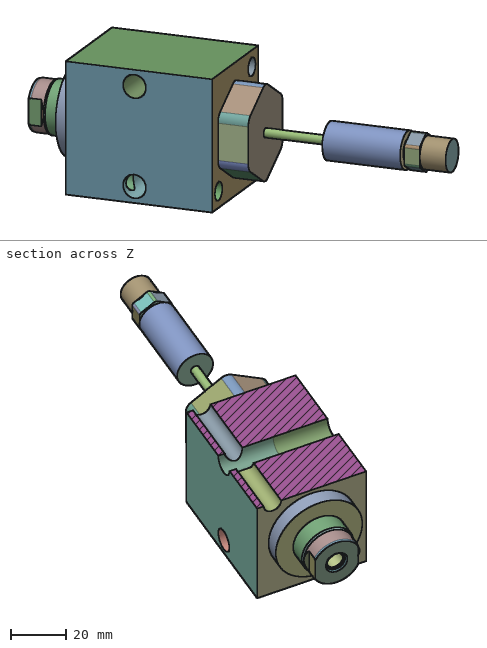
import cadquery as cq
import math


block_start = 20.2
block_length = 57.4
block_width = 44.4
block_height = 50.7
block_end = block_start + block_length

hole_height = 19.0
cross_hole_diameter = 9.0
cross_hole_x = 47.1
mount_hole_diameter = 7.0
mount_hole_offset = 16.0

nose_diameter = 20.2
nose_tip_diameter = 19.7
nose_tip_length = 1.0
nose_length = 6.5
collar_diameter = 21.0
collar_start = 7.3
flange_diameter = 35.1
flange_start = 14.3

nose_flats_width = 17.4
nose_flats_length = 5.0

port_diameter = 6.5
port_mouth_diameter = 8.8
port_step_diameter = 7.5
port_step_depth = 1.5
port_depth = 6.5

hex_width = 33.0
hex_corner_radius = 4.2
hex_end = 89.4

cable_diameter = 3.5
sleeve_start = 114.6
sleeve_end = 145.2
sleeve_diameter = 14.6
neck_diameter = 8.8
nut_start = 146.5
nut_end = 152.5
nut_width = 13.2
nut_corner_radius = 1.3
plug_diameter = 12.5
total_length = 162.5


def rod(start, end, diameter):
    """Cylinder on the axis between two X positions."""
    return cq.Workplane("YZ", origin=(start, 0, 0)).circle(diameter / 2).extrude(end - start)


def cone(start, end, start_diameter, end_diameter):
    """Truncated cone on the axis between two X positions."""
    solid = cq.Solid.makeCone(
        start_diameter / 2, end_diameter / 2, end - start, cq.Vector(start, 0, 0), cq.Vector(1, 0, 0)
    )
    return cq.Workplane(solid)


def hexagon(start, end, width_across_flats, corner_radius):
    """Round-cornered hexagonal prism with two flats facing -Y and +Y."""
    corner_diameter = width_across_flats / math.cos(math.pi / 6)
    return (
        cq.Workplane("YZ", origin=(start, 0, 0))
        .transformed(rotate=(0, 0, 90))
        .polygon(6, corner_diameter)
        .extrude(end - start)
        .edges("|X")
        .fillet(corner_radius)
    )


def make_block():
    block = cq.Workplane("XY").box(block_length, block_width, block_height)
    block = block.translate((block_start + block_length / 2, 0, 0))
    cross_holes = (
        cq.Workplane("XZ")
        .pushPoints([(cross_hole_x, hole_height), (cross_hole_x, -hole_height)])
        .circle(cross_hole_diameter / 2)
        .extrude(block_width, both=True)
    )
    mount_holes = (
        cq.Workplane("YZ", origin=(block_start, 0, 0))
        .pushPoints([(mount_hole_offset, hole_height), (-mount_hole_offset, -hole_height)])
        .circle(mount_hole_diameter / 2)
        .extrude(block_length)
    )
    return block.cut(cross_holes).cut(mount_holes)


def make_nose():
    nose = (
        cone(0, nose_tip_length, nose_tip_diameter, nose_diameter)
        .union(rod(nose_tip_length, nose_length, nose_diameter))
        .union(cone(nose_length, collar_start, nose_diameter, collar_diameter))
    )
    flat_y = nose_flats_width / 2
    runout = (collar_diameter - nose_flats_width) / 2
    flat_cutter = (
        cq.Workplane("XY")
        .moveTo(0, flat_y)
        .lineTo(nose_flats_length, flat_y)
        .lineTo(nose_flats_length + runout, flat_y + runout)
        .lineTo(0, flat_y + runout)
        .close()
        .extrude(nose_diameter, both=True)
    )
    nose = nose.cut(flat_cutter).cut(flat_cutter.mirror("XZ"))
    nose = nose.union(rod(collar_start, flange_start, collar_diameter))
    countersink_depth = (port_mouth_diameter - port_step_diameter) / 2
    countersink = cone(0, countersink_depth, port_mouth_diameter, port_step_diameter)
    port = rod(0, port_depth, port_diameter).union(rod(0, port_step_depth, port_step_diameter))
    return nose.cut(port).cut(countersink)


def make_connector():
    return (
        rod(hex_end, sleeve_start, cable_diameter)
        .union(rod(sleeve_start, sleeve_end, sleeve_diameter))
        .union(rod(sleeve_end, nut_start, neck_diameter))
        .union(hexagon(nut_start, nut_end, nut_width, nut_corner_radius))
        .union(rod(nut_end, total_length, plug_diameter))
    )


result = (
    make_block()
    .union(rod(flange_start, block_start, flange_diameter))
    .union(make_nose())
    .union(hexagon(block_end, hex_end, hex_width, hex_corner_radius))
    .union(make_connector())
)